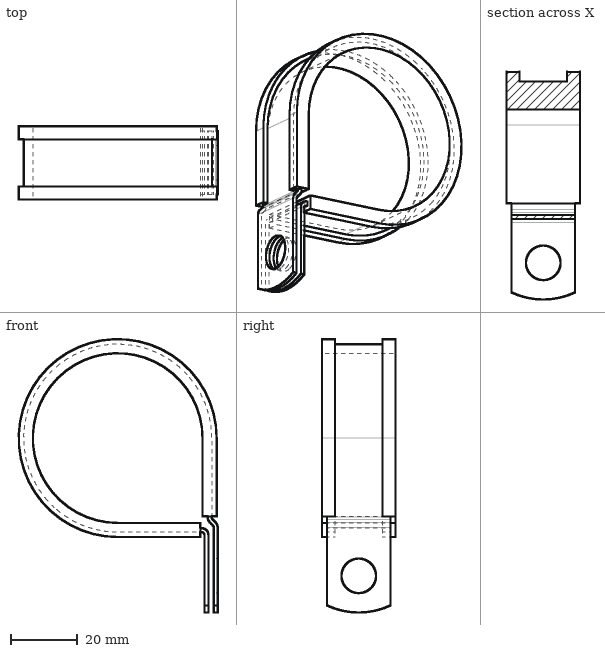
import cadquery as cq
import math


bore_radius = 25.4
cushion_thickness = 4.3
cushion_width = 22.1
outer_radius = bore_radius + cushion_thickness
upright_leg_end = -23.5
flat_leg_end = 24.8

groove_depth = 1.5
groove_width = 14.1
groove_radius = outer_radius - groove_depth

strap_thickness = 1.25
strap_width = 19.1
strap_mid_radius = groove_radius - strap_thickness / 2
bend_inside_radius = 0.95
bend_mid_radius = bend_inside_radius + strap_thickness / 2

tab_bottom = -52.34
tab_end_sag = 2.15
outer_tab_face = 30.01
tab_gap = 1.5
outer_tab_mid = outer_tab_face - strap_thickness / 2
inner_tab_mid = outer_tab_mid - strap_thickness - tab_gap
jog_straight = 0.2
jog_angle = math.radians(45)
hole_diameter = 10.3
hole_height = -41.3


def loop_band(inner_radius, radius, width):
    """Band around the loop: three quarters of a ring plus two tangent legs."""
    diagonal = math.sqrt(0.5)
    return (
        cq.Workplane("XZ")
        .moveTo(radius, upright_leg_end)
        .lineTo(radius, 0)
        .threePointArc((-radius * diagonal, radius * diagonal), (0, -radius))
        .lineTo(flat_leg_end, -radius)
        .lineTo(flat_leg_end, -inner_radius)
        .lineTo(0, -inner_radius)
        .threePointArc((-inner_radius * diagonal, inner_radius * diagonal), (inner_radius, 0))
        .lineTo(inner_radius, upright_leg_end)
        .close()
        .extrude(width / 2, both=True)
    )


def inner_tab():
    """Strap leaving the horizontal leg and bending down into a tab."""
    path = (
        cq.Workplane("XZ")
        .moveTo(flat_leg_end, -strap_mid_radius)
        .lineTo(inner_tab_mid - bend_mid_radius, -strap_mid_radius)
        .tangentArcPoint((bend_mid_radius, -bend_mid_radius))
        .lineTo(inner_tab_mid, tab_bottom)
    )
    section = cq.Workplane("YZ", origin=(flat_leg_end, 0, -strap_mid_radius))
    return section.rect(strap_width, strap_thickness).sweep(path)


def outer_tab():
    """Strap leaving the vertical leg and jogging outward into a tab."""
    bend_shift = bend_mid_radius * (1 - math.cos(jog_angle))
    bend_drop = bend_mid_radius * math.sin(jog_angle)
    slope_shift = outer_tab_mid - strap_mid_radius - 2 * bend_shift
    slope_drop = slope_shift / math.tan(jog_angle)
    path = (
        cq.Workplane("XZ")
        .moveTo(strap_mid_radius, upright_leg_end)
        .line(0, -jog_straight)
        .tangentArcPoint((bend_shift, -bend_drop))
        .line(slope_shift, -slope_drop)
        .tangentArcPoint((bend_shift, -bend_drop))
        .lineTo(outer_tab_mid, tab_bottom)
    )
    section = cq.Workplane("XY", origin=(strap_mid_radius, 0, upright_leg_end))
    return section.rect(strap_thickness, strap_width).sweep(path)


def tab_outline():
    """Block along X with a curved lower end and a bolt hole, used to trim both tabs."""
    half_width = strap_width / 2
    corner = tab_bottom + tab_end_sag
    block = (
        cq.Workplane("YZ")
        .moveTo(-half_width, 0)
        .lineTo(-half_width, corner)
        .threePointArc((0, tab_bottom), (half_width, corner))
        .lineTo(half_width, 0)
        .close()
        .extrude(2 * outer_radius)
    )
    hole = cq.Workplane("YZ").center(0, hole_height).circle(hole_diameter / 2).extrude(2 * outer_radius)
    return block.cut(hole)


cushion = loop_band(bore_radius, outer_radius, cushion_width)
groove = loop_band(groove_radius, outer_radius, groove_width)
tabs = inner_tab().add(outer_tab()).combine().intersect(tab_outline())

result = cushion.cut(groove).union(tabs)